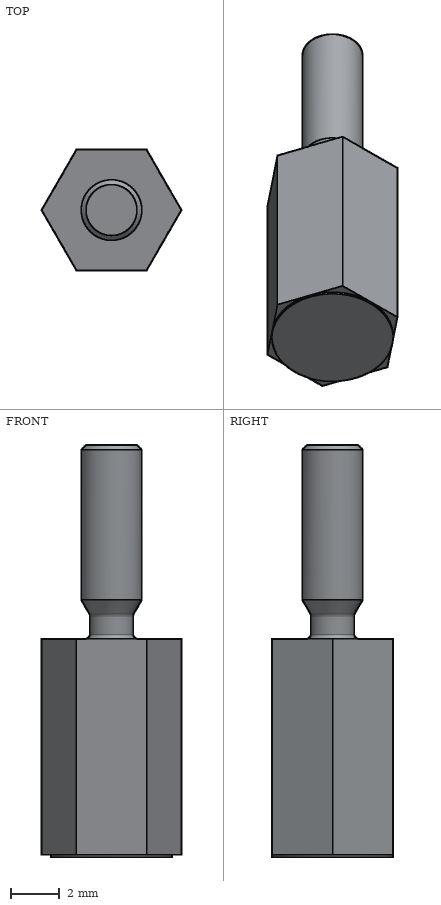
import cadquery as cq
import math

across_flats = 5.0
across_corners = across_flats / math.cos(math.radians(30))
body_height = 9.0
foot_diameter = across_flats
foot_height = 0.1

stud_radius = 2.5 / 2
stud_length = 8.0
tip_chamfer = 0.2
total_height = body_height + stud_length

neck_radius = 1.8 / 2
neck_length = 1.0
undercut_fillet = 0.2
cone_angle = math.radians(30)
cone_bottom = body_height + neck_length
cone_top = cone_bottom + (stud_radius - neck_radius) / math.tan(cone_angle)


def make_body():
    """Hexagonal prism, corners on the X axis, standing on a thin round foot."""
    foot = cq.Workplane("XY").circle(foot_diameter / 2).extrude(foot_height)
    prism = (
        cq.Workplane("XY")
        .workplane(offset=foot_height)
        .polygon(6, across_corners)
        .extrude(body_height - foot_height)
    )
    return foot.union(prism)


def fillet_point(center_height, turn):
    """Point on an undercut fillet, turned upward from where it touches the neck."""
    center_radius = neck_radius + undercut_fillet
    return (
        center_radius - undercut_fillet * math.cos(turn),
        center_height + undercut_fillet * math.sin(turn),
    )


def make_stud():
    """Revolved stud with a filleted undercut, a cone up to full size and a chamfered tip."""
    root_center = body_height + undercut_fillet
    blend_center = cone_bottom - undercut_fillet * math.tan(cone_angle / 2)
    quarter_turn = math.pi / 2

    profile = (
        cq.Workplane("XZ")
        .moveTo(0, body_height)
        .lineTo(*fillet_point(root_center, -quarter_turn))
        .threePointArc(
            fillet_point(root_center, -quarter_turn / 2),
            fillet_point(root_center, 0),
        )
        .lineTo(*fillet_point(blend_center, 0))
        .threePointArc(
            fillet_point(blend_center, cone_angle / 2),
            fillet_point(blend_center, cone_angle),
        )
        .lineTo(stud_radius, cone_top)
        .lineTo(stud_radius, total_height - tip_chamfer)
        .lineTo(stud_radius - tip_chamfer, total_height)
        .lineTo(0, total_height)
        .close()
    )
    return profile.revolve(360, (0, 0, 0), (0, 1, 0))


result = make_body().union(make_stud())